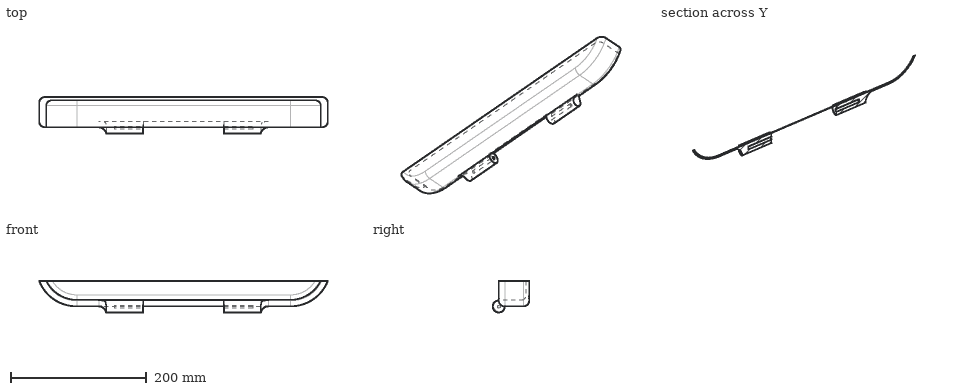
import cadquery as cq
import math

LENGTH = 425.5
DEPTH = 45.0
HEIGHT = 38.0
END_RUN = 55.5
FLOOR_THICKNESS = 10.0
BACK_THICKNESS = 5.0
OUTER_FILLET = 9.0
INNER_FILLET = 7.5

KNUCKLE_RADIUS = 9.0
KNUCKLE_INNER_X = 59.5
KNUCKLE_OUTER_X = 114.0
BLEND_RADIUS = 10.5
PIN_HOLE_RADIUS = 2.0
PIN_HOLE_DEPTH = 42.5

end_radius = (END_RUN**2 + HEIGHT**2) / (2 * HEIGHT)
flat_half = LENGTH / 2 - END_RUN


def trough(radius, y_front, y_back):
    """Solid with a flat bottom and arc ends, concentric with the tray ends."""
    centre_z = end_radius
    rim_angle = math.acos((centre_z - HEIGHT) / radius)
    rim_x = flat_half + radius * math.sin(rim_angle)
    mid_x = flat_half + radius * math.sin(rim_angle / 2)
    mid_z = centre_z - radius * math.cos(rim_angle / 2)
    bottom_z = centre_z - radius
    return (
        cq.Workplane("XZ", origin=(0, y_front, 0))
        .moveTo(-flat_half, bottom_z)
        .lineTo(flat_half, bottom_z)
        .threePointArc((mid_x, mid_z), (rim_x, HEIGHT))
        .lineTo(-rim_x, HEIGHT)
        .threePointArc((-mid_x, mid_z), (-flat_half, bottom_z))
        .close()
        .extrude(y_front - y_back)
    )


def tray():
    outside = trough(end_radius, 0, DEPTH)
    outside = outside.faces("<Y or >Y").edges("not >Z").fillet(OUTER_FILLET)
    cavity = trough(end_radius - FLOOR_THICKNESS, 0, DEPTH - BACK_THICKNESS)
    cavity = cavity.faces(">Y").edges("not >Z").fillet(INNER_FILLET)
    return outside.cut(cavity)


def barrel(x_start, x_end):
    """Cylinder on the hinge axis."""
    return cq.Workplane("YZ", origin=(x_start, 0, 0)).circle(KNUCKLE_RADIUS).extrude(x_end - x_start)


def end_relief():
    """Ring that hollows the knuckle's outer end into a concave blend with the tray.

    It is swept around the centre line of the tray's lower front rounding.
    """
    blend_end_x = KNUCKLE_OUTER_X + BLEND_RADIUS
    blend_top = OUTER_FILLET + BLEND_RADIUS
    ring_outer_radius = OUTER_FILLET + 2 * KNUCKLE_RADIUS
    arc_offset = BLEND_RADIUS * (1 - math.sqrt(0.5))
    return (
        cq.Workplane("XY", origin=(0, OUTER_FILLET, OUTER_FILLET))
        .moveTo(KNUCKLE_OUTER_X, ring_outer_radius)
        .lineTo(KNUCKLE_OUTER_X, blend_top)
        .threePointArc(
            (KNUCKLE_OUTER_X + arc_offset, OUTER_FILLET + arc_offset),
            (blend_end_x, OUTER_FILLET),
        )
        .lineTo(blend_end_x, ring_outer_radius)
        .close()
        .revolve(360, (0, 0, 0), (1, 0, 0))
    )


def knuckle():
    """Right-hand knuckle with its blended outer end."""
    return barrel(KNUCKLE_INNER_X, KNUCKLE_OUTER_X + BLEND_RADIUS).cut(end_relief())


def pin_hole():
    return (
        cq.Workplane("YZ", origin=(KNUCKLE_INNER_X, 0, 0))
        .circle(PIN_HOLE_RADIUS)
        .extrude(PIN_HOLE_DEPTH)
    )


hinge_groove = barrel(-KNUCKLE_INNER_X, KNUCKLE_INNER_X)

result = tray().cut(hinge_groove)
result = result.union(knuckle()).union(knuckle().mirror("YZ"))
result = result.cut(pin_hole()).cut(pin_hole().mirror("YZ"))